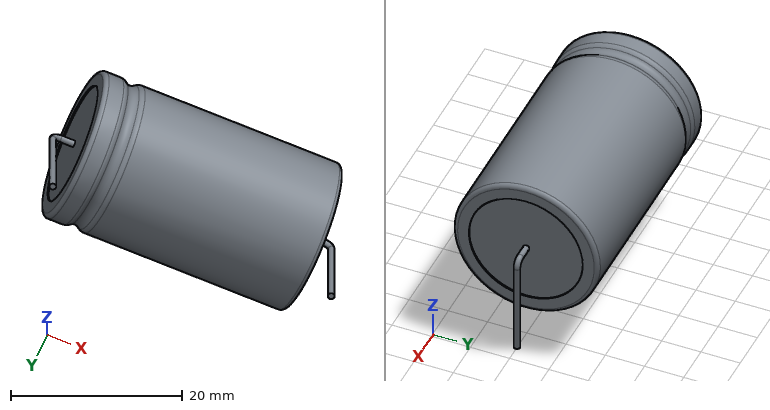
import cadquery as cq
import math

can_length = 30.5
can_diameter = 18.5
can_radius = can_diameter / 2
can_end_x = can_length / 2
edge_fillet = 0.55

groove_offset = 3.78
groove_depth = 0.5
hollow_half_width = 0.71
shoulder_width = 0.65

disc_diameter = 14.5
disc_thickness = 0.35
disc_recess = 0.18

overall_length = 36.35
lead_diameter = 0.8
lead_bend_radius = 0.95
lead_drop = 13.05

disc_face_x = can_end_x - disc_recess
pocket_depth = disc_recess + disc_thickness
lead_x = (overall_length - lead_diameter) / 2


def make_can():
    """Solid of revolution with rounded ends, a groove and a pocket in each end."""
    groove_x = -can_end_x + groove_offset
    groove_half_width = hollow_half_width + shoulder_width
    turn = 2 * math.atan(groove_depth / groove_half_width)
    hollow_radius = hollow_half_width / math.sin(turn)
    shoulder_radius = shoulder_width / math.sin(turn)
    floor_r = can_radius - groove_depth
    join_r = floor_r + hollow_radius * (1 - math.cos(turn))
    shoulder_mid_x = groove_half_width - shoulder_radius * math.sin(turn / 2)
    shoulder_mid_r = can_radius - shoulder_radius * (1 - math.cos(turn / 2))

    profile = (
        cq.Workplane("XZ")
        .moveTo(-can_end_x, 0)
        .lineTo(-can_end_x, can_radius)
        .lineTo(groove_x - groove_half_width, can_radius)
        .threePointArc((groove_x - shoulder_mid_x, shoulder_mid_r), (groove_x - hollow_half_width, join_r))
        .threePointArc((groove_x, floor_r), (groove_x + hollow_half_width, join_r))
        .threePointArc((groove_x + shoulder_mid_x, shoulder_mid_r), (groove_x + groove_half_width, can_radius))
        .lineTo(can_end_x, can_radius)
        .lineTo(can_end_x, 0)
        .close()
    )
    can = profile.revolve(360, (0, 0, 0), (1, 0, 0))
    can = can.faces("<X or >X").edges().fillet(edge_fillet)
    for end in (-1, 1):
        can = can.cut(end_cylinder(end, can_end_x, pocket_depth))
    return can


def end_cylinder(end, outer_x, depth):
    """Disc-sized cylinder reaching inward from outer_x; end is -1 or 1 along X."""
    return (
        cq.Workplane("YZ", origin=(end * outer_x, 0, 0))
        .circle(disc_diameter / 2)
        .extrude(-end * depth)
    )


def make_end_disc(end):
    return end_cylinder(end, disc_face_x, disc_thickness)


def make_lead(end):
    """Round wire from the disc face outward, then bent down to its tip."""
    bend_start_x = lead_x - lead_bend_radius
    bend_mid_x = bend_start_x + lead_bend_radius * math.sin(math.pi / 4)
    bend_mid_z = -lead_bend_radius * (1 - math.cos(math.pi / 4))
    path = (
        cq.Workplane("XZ")
        .moveTo(end * disc_face_x, 0)
        .lineTo(end * bend_start_x, 0)
        .threePointArc((end * bend_mid_x, bend_mid_z), (end * lead_x, -lead_bend_radius))
        .lineTo(end * lead_x, -lead_drop)
    )
    return cq.Workplane("YZ", origin=(end * disc_face_x, 0, 0)).circle(lead_diameter / 2).sweep(path)


can = make_can()
end_discs = [make_end_disc(end) for end in (-1, 1)]
leads = [make_lead(end) for end in (-1, 1)]

result = cq.Compound.makeCompound([body.solids().val() for body in [can, *end_discs, *leads]])